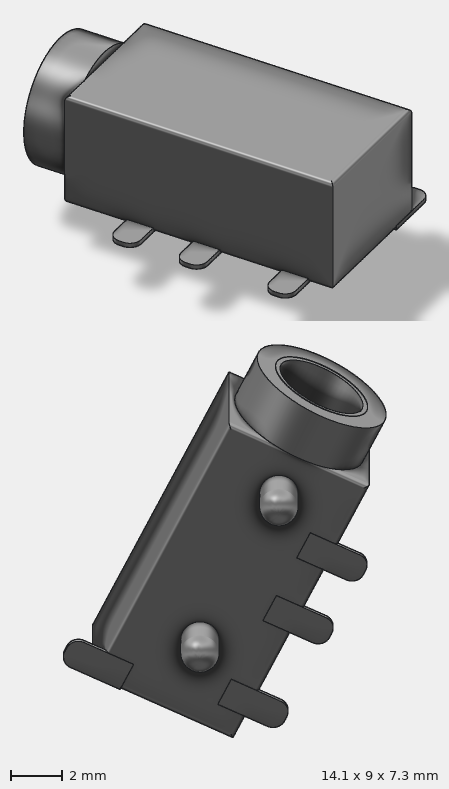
import cadquery as cq


housing_length = 12.1
housing_width = 6.1
housing_height = 5.0
housing_edge_radius = 0.2
housing_bottom = -housing_height / 2

collar_diameter = 5.6
collar_length = 2.0
bore_diameter = 3.6
bore_depth = collar_length
sleeve_diameter = 4.0
sleeve_setback = 0.02

lead_span = 9.0
lead_width = 1.2
lead_thickness = 0.2
lead_corner_radius = 0.5
lead_length = 2.65
lead_protrusion = 0.02
lead_bottom = housing_bottom - lead_protrusion
near_lead_positions = (3.4, 6.4, 10.4)
far_lead_position = housing_length - lead_width / 2

pin_diameter = 1.5
pin_length = 2.0
pin_tip_radius = 0.7
pin_root = 0.2
pin_positions = (1.8, 8.8)


def make_housing():
    """Box with rounded top and bottom edges and sharp vertical edges."""
    return (
        cq.Workplane("XY")
        .box(housing_length, housing_width, housing_height, centered=(False, True, True))
        .faces("<Z or >Z")
        .edges()
        .fillet(housing_edge_radius)
    )


def make_collar():
    """Round mouth in front of the housing."""
    return cq.Workplane("YZ").circle(collar_diameter / 2).extrude(-collar_length)


def make_mouth_hole(diameter, depth):
    """Cylinder that cuts a blind round hole inward from the collar face."""
    return (
        cq.Workplane("YZ", origin=(-collar_length, 0, 0))
        .circle(diameter / 2)
        .extrude(depth)
    )


def make_lead(x, side):
    """Flat lead at x with a rounded tip; side is -1 for -Y and +1 for +Y."""
    center_y = side * (lead_span - lead_length) / 2
    tip_edges = "|Z and >Y" if side > 0 else "|Z and <Y"
    return (
        cq.Workplane("XY", origin=(x, center_y, lead_bottom))
        .box(lead_width, lead_length, lead_thickness, centered=(True, True, False))
        .edges(tip_edges)
        .fillet(lead_corner_radius)
    )


def make_pin(x):
    """Round pin with a domed tip, rooted in the underside of the housing."""
    return (
        cq.Workplane("XY", origin=(x, 0, housing_bottom + pin_root))
        .circle(pin_diameter / 2)
        .extrude(-pin_length - pin_root)
        .faces("<Z")
        .edges()
        .fillet(pin_tip_radius)
    )


result = make_housing().union(make_collar())
for lead_x in near_lead_positions:
    result = result.union(make_lead(lead_x, -1))
result = result.union(make_lead(far_lead_position, 1))
for pin_x in pin_positions:
    result = result.union(make_pin(pin_x))
result = result.cut(make_mouth_hole(bore_diameter, bore_depth))
result = result.cut(make_mouth_hole(sleeve_diameter, sleeve_setback))